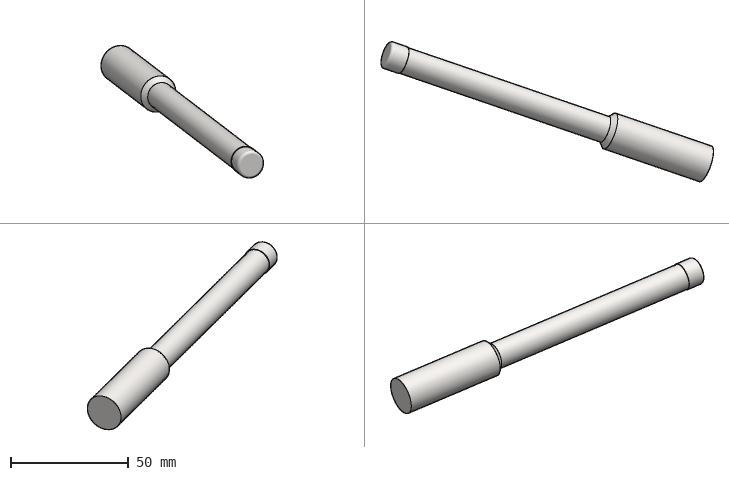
import cadquery as cq

TOTAL_LENGTH = 150.0

SHANK_DIAMETER = 16.0
SHANK_LENGTH = 45.0
NECK_DIAMETER = 11.5
SHOULDER_LENGTH = 2.2

TIP_DIAMETER = 12.0
TIP_LENGTH = 8.0
TIP_EDGE_RADIUS = 1.2

SHOULDER_END = SHANK_LENGTH + SHOULDER_LENGTH
NECK_END = TOTAL_LENGTH - TIP_LENGTH


def make_holder():
    """Shank, conical shoulder and neck, revolved about the X axis."""
    shank_radius = SHANK_DIAMETER / 2
    neck_radius = NECK_DIAMETER / 2
    profile = (
        cq.Workplane("XY")
        .lineTo(0, shank_radius)
        .lineTo(SHANK_LENGTH, shank_radius)
        .lineTo(SHOULDER_END, neck_radius)
        .lineTo(NECK_END, neck_radius)
        .lineTo(NECK_END, 0)
        .close()
    )
    return profile.revolve(360, (0, 0), (1, 0))


def make_tip():
    """Cylindrical head with a rounded front rim, seated on the neck end."""
    head = cq.Workplane("YZ", origin=(NECK_END, 0, 0)).circle(TIP_DIAMETER / 2).extrude(TIP_LENGTH)
    return head.faces(">X").edges().fillet(TIP_EDGE_RADIUS)


holder = make_holder()
tip = make_tip()

result = cq.Compound.makeCompound([holder.val(), tip.val()])